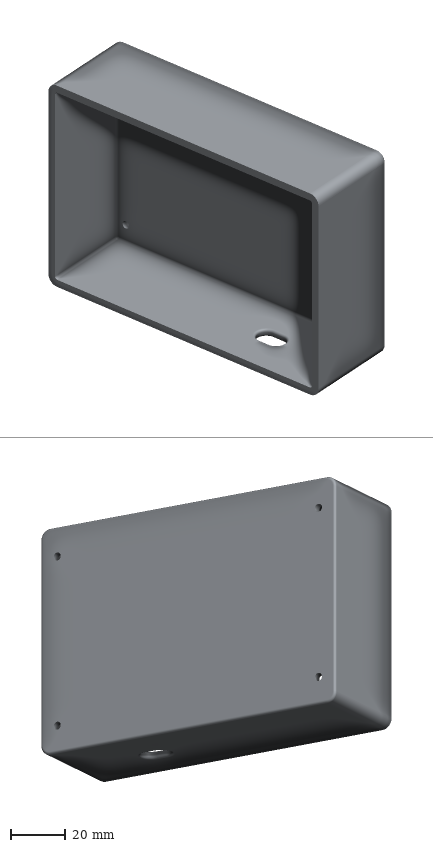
import cadquery as cq

width = 127.7
depth = 39.5
height = 87.3
wall = 3.1
corner_radius = 4.0
back_edge_radius = 1.0
inner_radius = 1.0

hole_diameter = 3.1
hole_inset_x = 7.3
hole_inset_top = 11.5
hole_inset_bottom = 10.5

slot_length = 12.5
slot_width = 7.9
slot_rim_radius = 1.0
slot_x = 26.8

tolerance = 0.001

cavity_depth = depth - wall
floor_z = wall - height / 2
hole_spacing_x = width - 2 * hole_inset_x
hole_spacing_z = height - hole_inset_top - hole_inset_bottom
hole_center_z = (hole_inset_bottom - hole_inset_top) / 2


def make_shell():
    """Rounded outer block with the filleted cavity removed."""
    block = (
        cq.Workplane("XY")
        .box(width, depth, height, centered=(True, False, True))
        .edges("|Y")
        .fillet(corner_radius)
        .faces(">Y")
        .edges()
        .fillet(back_edge_radius)
    )
    cavity = (
        cq.Workplane("XY")
        .box(width - 2 * wall, cavity_depth, height - 2 * wall, centered=(True, False, True))
        .edges("|Y or >Y")
        .fillet(inner_radius)
    )
    return block.cut(cavity)


def make_mounting_holes():
    """Four cylinders running along Y through the whole depth."""
    return (
        cq.Workplane("XZ", origin=(0, 0, hole_center_z))
        .rect(hole_spacing_x, hole_spacing_z, forConstruction=True)
        .vertices()
        .circle(hole_diameter / 2)
        .extrude(-depth)
    )


def make_cable_slot():
    """Round-ended cutter running through the bottom wall."""
    return (
        cq.Workplane("XY", origin=(slot_x, cavity_depth / 2, -height / 2))
        .slot2D(slot_length, slot_width)
        .extrude(wall)
    )


def on_slot_rim(edge):
    """Tell whether an edge outlines the slot on the cavity floor or the outer bottom face."""
    box = edge.BoundingBox()
    is_level = box.zmax - box.zmin < tolerance
    in_bottom_wall = box.zmax < floor_z + tolerance
    in_slot_length = abs(edge.Center().x - slot_x) < slot_length / 2
    in_slot_width = abs(edge.Center().y - cavity_depth / 2) < slot_width / 2 + tolerance
    return is_level and in_bottom_wall and in_slot_length and in_slot_width


shell = make_shell().cut(make_mounting_holes()).cut(make_cable_slot())
slot_rims = shell.edges().filter(on_slot_rim)
result = cq.Workplane(shell.val().fillet(slot_rim_radius, slot_rims.vals()))